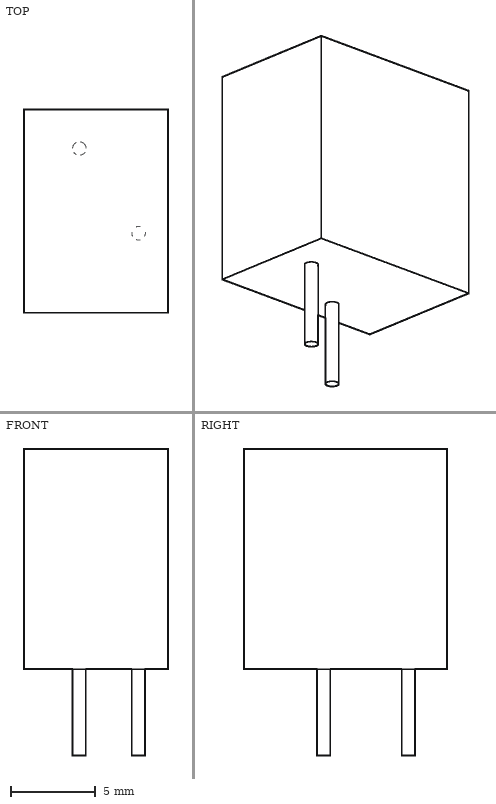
import cadquery as cq

housing_width = 8.5
housing_depth = 12.0
total_height = 18.1
pin_length = 5.1
housing_height = total_height - pin_length

pin_diameter = 0.8
pin_pitch_x = 3.5
pin_pitch_y = 5.0
left_pin_x = -1.0
front_pin_y = -1.29
pin_positions = [
    (left_pin_x, front_pin_y + pin_pitch_y),
    (left_pin_x + pin_pitch_x, front_pin_y),
]


def make_housing():
    """Plain rectangular block standing on Z = 0."""
    return cq.Workplane("XY").box(
        housing_width, housing_depth, housing_height, centered=(True, True, False)
    )


def make_pin(x, y):
    """Straight round pin hanging from the housing underside."""
    return cq.Workplane("XY").center(x, y).circle(pin_diameter / 2).extrude(-pin_length)


housing = make_housing()
pins = [make_pin(x, y) for x, y in pin_positions]

result = cq.Compound.makeCompound([housing.val(), *[pin.val() for pin in pins]])